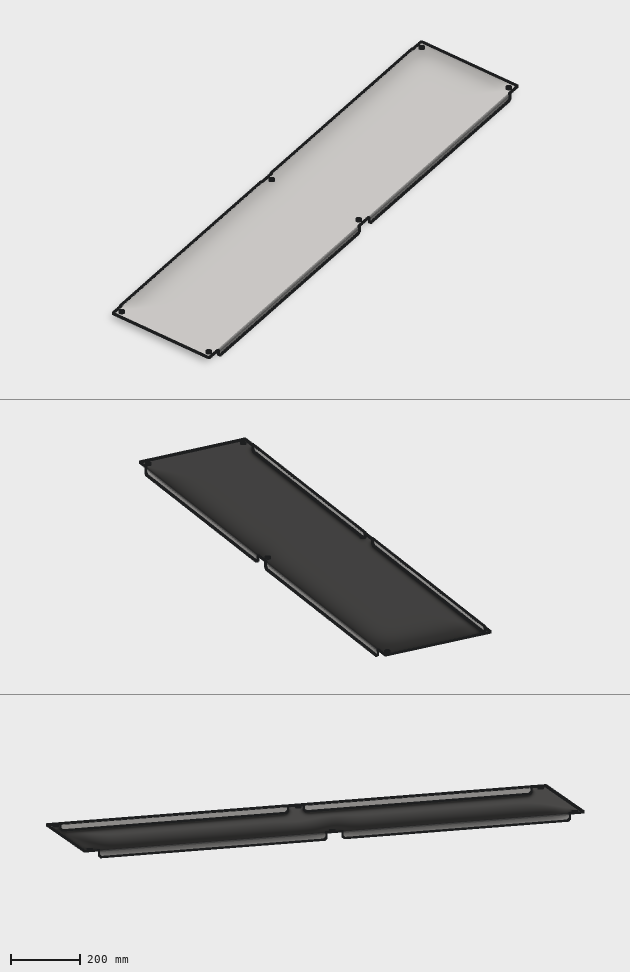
import cadquery as cq

width = 354.0
length = 1524.0
height = 23.0

thickness = 3.0
bend_radius = 5.0
corner_radius = 3.0

flange_end_setback = 43.0
flange_gap = 49.0
flange_corner = 6.0
flange_length = (length - flange_gap) / 2 - flange_end_setback
flange_centre_y = (flange_gap + flange_length) / 2

hole_diameter = 12.6
hole_offset_x = 155.0
hole_offset_y = 740.0

flat_width = width - 2 * bend_radius


def make_sheet():
    """Flat rectangular sheet with its top face at Z = 0."""
    return (
        cq.Workplane("XY")
        .workplane(offset=-thickness)
        .rect(flat_width, length)
        .extrude(thickness)
        .edges("|Z")
        .fillet(corner_radius)
    )


def make_flange_pair(centre_y):
    """Left and right flanges, bent down from the sheet over one stretch of its length."""
    channel = (
        cq.Workplane("XY")
        .box(width, flange_length, height, centered=(True, True, False))
        .translate((0, centre_y, -height))
        .edges("|Y and >Z")
        .fillet(bend_radius)
        .edges("|X and <Z")
        .chamfer(flange_corner)
    )
    inside = (
        cq.Workplane("XY")
        .box(width - 2 * thickness, flange_length, height, centered=(True, True, False))
        .translate((0, centre_y, -height - thickness))
        .edges("|Y and >Z")
        .fillet(bend_radius - thickness)
    )
    return channel.cut(inside)


def make_holes():
    """Through cutters for the fixing holes."""
    places = [(x, y) for x in (-hole_offset_x, hole_offset_x) for y in (-hole_offset_y, 0, hole_offset_y)]
    return (
        cq.Workplane("XY")
        .workplane(offset=-thickness)
        .pushPoints(places)
        .circle(hole_diameter / 2)
        .extrude(thickness)
    )


panel = make_sheet()
for flange_y in (-flange_centre_y, flange_centre_y):
    panel = panel.union(make_flange_pair(flange_y))
result = panel.cut(make_holes())